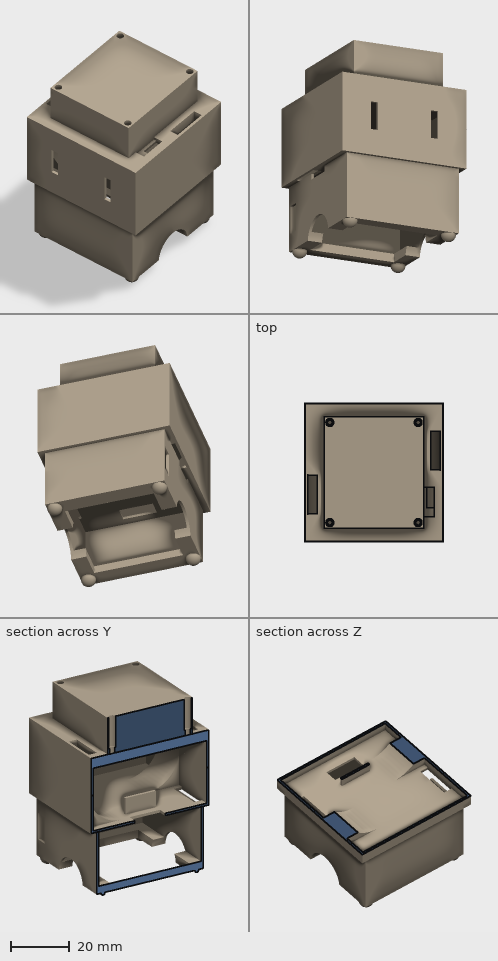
import cadquery as cq

WALL = 1.0

CASE_SIDE = 47.0
CASE_HALF_HEIGHT = 14.0
CEILING_THICKNESS = 4.0

CAP_X = 33.8
CAP_Y = 37.8
CAP_HEIGHT = 13.5
CAP_HOLE_X = 15.0
CAP_HOLE_Y = 17.0
CAP_BORE_DIAMETER = 2.6
CAP_PILOT_DIAMETER = 1.7
CAP_PILOT_DEPTH = 2.0

BASE_X = 42.4
BASE_Y = 44.4
BASE_HEIGHT = 23.0
RIM_WIDTH = 5.4
RIM_THICKNESS = 3.0
FOOT_RADIUS = 2.58
FOOT_X = BASE_X / 2 - FOOT_RADIUS
FOOT_Y = 19.4

ARCH_RADIUS = 7.9
ARCH_HEIGHT = 7.0
WINDOW_Y = (17.0, BASE_Y / 2 - WALL)
WINDOW_HEIGHT = 9.8
WINDOW_SILL = 6.2
NOTCH_WIDTH = 10.0
NOTCH_DEPTH = 2.0

FACE_SLOT_WIDTH = 3.2
FACE_SLOT_LENGTH = 13.1
FACE_SLOT_Y = 7.45
FRONT_SLOT_WIDTH = 2.65
FRONT_SLOT_HEIGHT = 9.8
FRONT_SLOT_X = 11.4

RECESS_X_END = 20.45
RECESS_Y = (-15.0, -5.0)
RECESS_DEPTH = 1.0
DEEP_RECESS_X_START = 17.9
DEEP_RECESS_Y_START = -12.0
DEEP_RECESS_DEPTH = 2.0

FLOOR_OPENING_WIDTH = 12.0
FLOOR_OPENING_Y = (-18.5, -13.65)
RIB_FRONT_Y = -10.9
RIB_HEIGHT = 6.0

CAVITY_SIDE = CASE_SIDE - 2 * WALL
RAMP_RADIUS = CASE_HALF_HEIGHT - WALL
FACE_SLOT_X = CAVITY_SIDE / 2 - FACE_SLOT_WIDTH / 2
BASE_TOP = -CASE_HALF_HEIGHT
BASE_BOTTOM = BASE_TOP - BASE_HEIGHT


def box(x_range, y_range, z_range):
    """Axis-aligned box between the given limits."""
    sizes = [end - start for start, end in (x_range, y_range, z_range)]
    return (
        cq.Workplane("XY")
        .box(*sizes, centered=False)
        .translate((x_range[0], y_range[0], z_range[0]))
    )


def centred_box(size_x, size_y, z_range):
    """Box centred on the Z axis."""
    return box((-size_x / 2, size_x / 2), (-size_y / 2, size_y / 2), z_range)


def make_case_shell(plate_thickness):
    """Upright shell, open at the joint, with slots through its flat top plate and its front wall."""
    cavity_height = CASE_HALF_HEIGHT - plate_thickness
    shell = centred_box(CASE_SIDE, CASE_SIDE, (0, CASE_HALF_HEIGHT))
    shell = shell.cut(centred_box(CAVITY_SIDE, CAVITY_SIDE, (0, cavity_height)))

    for side in (-1, 1):
        face_slot = (
            cq.Workplane("XY", origin=(0, 0, cavity_height))
            .center(side * FACE_SLOT_X, side * FACE_SLOT_Y)
            .rect(FACE_SLOT_WIDTH, FACE_SLOT_LENGTH)
            .extrude(plate_thickness)
        )
        front_slot = (
            cq.Workplane("XZ", origin=(0, -CAVITY_SIDE / 2, 0))
            .center(side * FRONT_SLOT_X, 0)
            .rect(FRONT_SLOT_WIDTH, FRONT_SLOT_HEIGHT)
            .extrude(WALL)
        )
        shell = shell.cut(face_slot).cut(front_slot)
    return shell


def make_upper_case():
    """Shell with a thick ceiling and a stepped recess beside the cap."""
    shallow = box(
        (CAP_X / 2, RECESS_X_END),
        RECESS_Y,
        (CASE_HALF_HEIGHT - RECESS_DEPTH, CASE_HALF_HEIGHT),
    )
    deep = box(
        (DEEP_RECESS_X_START, RECESS_X_END),
        (DEEP_RECESS_Y_START, RECESS_Y[1]),
        (CASE_HALF_HEIGHT - DEEP_RECESS_DEPTH, CASE_HALF_HEIGHT),
    )
    return make_case_shell(CEILING_THICKNESS).cut(shallow).cut(deep)


def make_ramp(side):
    """Quarter-round ramp from the case floor up the side wall, below a slot of the upper case."""
    axis_x = side * (CAVITY_SIDE / 2 - RAMP_RADIUS)
    y_centre = side * FACE_SLOT_Y
    y_range = (y_centre - FACE_SLOT_LENGTH / 2, y_centre + FACE_SLOT_LENGTH / 2)
    x_range = sorted((axis_x, side * CAVITY_SIDE / 2))
    hollow = (
        cq.Workplane("XZ", origin=(axis_x, y_range[1], 0))
        .circle(RAMP_RADIUS)
        .extrude(FACE_SLOT_LENGTH)
    )
    return box(x_range, y_range, (-RAMP_RADIUS, 0)).cut(hollow)


def make_lower_case():
    """Thin-floored shell, turned over, with two ramps, a floor opening and a rib behind it."""
    half_width = FLOOR_OPENING_WIDTH / 2
    floor = BASE_TOP + WALL
    opening = box((-half_width, half_width), FLOOR_OPENING_Y, (BASE_TOP, floor))
    rib = box(
        (-half_width, half_width),
        (RIB_FRONT_Y, RIB_FRONT_Y + WALL),
        (BASE_TOP, floor + RIB_HEIGHT),
    )
    lower = make_case_shell(WALL).rotate((0, 0, 0), (0, 1, 0), 180)
    lower = lower.cut(opening).union(rib)
    for side in (-1, 1):
        lower = lower.union(make_ramp(side))
    return lower


def make_cap():
    """Block on top of the case with a stepped hole through each corner."""
    cap = centred_box(CAP_X, CAP_Y, (CASE_HALF_HEIGHT, CASE_HALF_HEIGHT + CAP_HEIGHT))
    return (
        cap.faces(">Z")
        .workplane(origin=(0, 0, 0))
        .rect(2 * CAP_HOLE_X, 2 * CAP_HOLE_Y, forConstruction=True)
        .vertices()
        .cboreHole(CAP_PILOT_DIAMETER, CAP_BORE_DIAMETER, CAP_HEIGHT - CAP_PILOT_DEPTH)
    )


def make_base():
    """Hollow foot of the part: open underside with a rim, side arch and four round feet."""
    base = centred_box(BASE_X, BASE_Y, (BASE_BOTTOM, BASE_TOP))
    cavity = centred_box(
        BASE_X - 2 * WALL,
        BASE_Y - 2 * WALL,
        (BASE_BOTTOM + RIM_THICKNESS, BASE_TOP),
    )
    underside_opening = centred_box(
        BASE_X - 2 * RIM_WIDTH,
        BASE_Y - 2 * RIM_WIDTH,
        (BASE_BOTTOM, BASE_BOTTOM + RIM_THICKNESS),
    )
    base = base.cut(cavity).cut(underside_opening)

    arch = (
        cq.Workplane("YZ")
        .center(0, BASE_BOTTOM + ARCH_HEIGHT - ARCH_RADIUS)
        .circle(ARCH_RADIUS)
        .extrude(BASE_X / 2, both=True)
    )
    wall_x = (-BASE_X / 2, -BASE_X / 2 + WALL)
    sill = BASE_BOTTOM + WINDOW_SILL
    window = box(wall_x, WINDOW_Y, (sill, sill + WINDOW_HEIGHT))
    notch = box(wall_x, (-NOTCH_WIDTH / 2, NOTCH_WIDTH / 2), (BASE_TOP - NOTCH_DEPTH, BASE_TOP))
    base = base.cut(arch).cut(window).cut(notch)

    foot = cq.Workplane("XY").sphere(FOOT_RADIUS).intersect(
        centred_box(2 * FOOT_RADIUS, 2 * FOOT_RADIUS, (-FOOT_RADIUS, 0))
    )
    for side_x in (-1, 1):
        for side_y in (-1, 1):
            base = base.union(foot.translate((side_x * FOOT_X, side_y * FOOT_Y, BASE_BOTTOM)))
    return base


upper_case = make_upper_case()
lower_case = make_lower_case()
cap = make_cap()
base = make_base()

result = cq.Compound.makeCompound([upper_case.val(), lower_case.val(), cap.val(), base.val()])